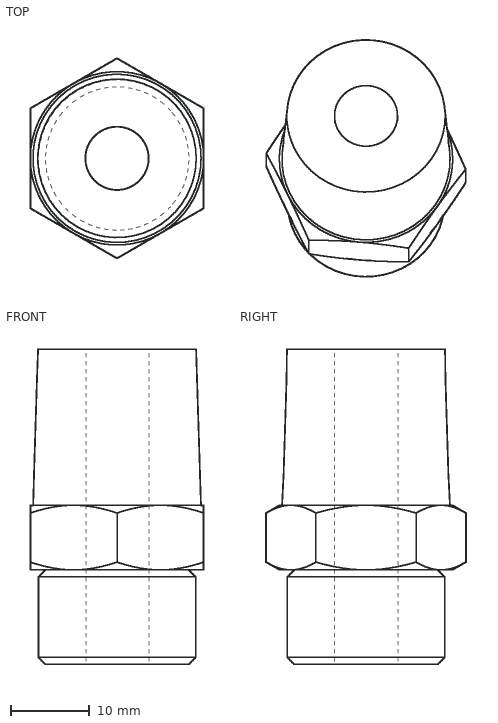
import cadquery as cq
import math

total_height = 40.0
hex_bottom = 12.0
hex_height = 8.2
hex_top = hex_bottom + hex_height

hex_sides = 6
across_flats = 22.0
across_corners = across_flats / math.cos(math.pi / hex_sides)
hex_chamfer_angle = 30.0
hex_chamfer_drop = (across_corners - across_flats) / 2 * math.tan(math.radians(hex_chamfer_angle))

straight_radius = 10.0
straight_bevel = 0.9

taper_tip_radius = 10.05
taper_on_diameter = 1 / 16
taper_length = total_height - hex_top
taper_base_radius = taper_tip_radius + taper_length * taper_on_diameter / 2

bore_diameter = 8.0


def turned(profile):
    """Revolve a closed (radius, height) profile around the Z axis."""
    return cq.Workplane("XZ").polyline(profile).close().revolve(360, (0, 0, 0), (0, 1, 0))


def straight_end():
    bevel_radius = straight_radius - straight_bevel
    return turned([
        (0, 0),
        (bevel_radius, 0),
        (straight_radius, straight_bevel),
        (straight_radius, hex_bottom - straight_bevel),
        (bevel_radius, hex_bottom),
        (0, hex_bottom),
    ])


def hexagon():
    """Hexagonal prism with flats facing +-X and conical chamfers on both faces."""
    prism = (
        cq.Workplane("XY", origin=(0, 0, hex_bottom))
        .transformed(rotate=(0, 0, 90))
        .polygon(hex_sides, across_corners)
        .extrude(hex_height)
    )
    face_radius = across_flats / 2
    corner_radius = across_corners / 2
    chamfer_envelope = turned([
        (0, hex_bottom),
        (face_radius, hex_bottom),
        (corner_radius, hex_bottom + hex_chamfer_drop),
        (corner_radius, hex_top - hex_chamfer_drop),
        (face_radius, hex_top),
        (0, hex_top),
    ])
    return prism.intersect(chamfer_envelope)


def tapered_end():
    return turned([
        (0, hex_top),
        (taper_base_radius, hex_top),
        (taper_tip_radius, total_height),
        (0, total_height),
    ])


def through_bore():
    return cq.Workplane("XY").circle(bore_diameter / 2).extrude(total_height)


result = hexagon().union(straight_end()).union(tapered_end()).cut(through_bore())